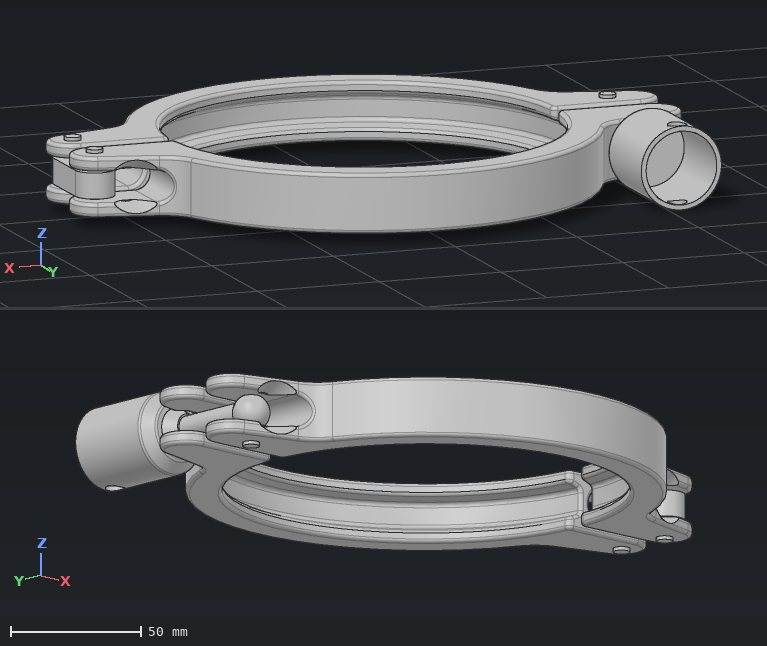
import cadquery as cq
import math

ring_outer_r = 92.5
ring_inner_r = 78.5
height = 23.8
half_gap = 2.8
edge_fillet = 1.5

lug_tip_r = 10.0
lug_reach = 125.0
flank_angle = math.radians(15)
flank_blend_r = 15.0
bore_corner_r = 2.5

groove_mouth_half = 7.0
groove_floor_r = 84.5
groove_floor_fillet = 2.0
groove_side_angle = math.radians(20)

slot_height = 12.5
slot_end_x = 89.2

bolt_x = 105.0
seat_top_y = 30.0
seat_top_r = 13.0
seat_bottom_y = 20.0
seat_bottom_r = 6.8

pin_d = 6.5
pin_length = 26.5
hinge_x = 115.0
hinge_y = 12.0
bolt_pin_y = 13.0
link_width = 15.8
link_height = 10.2

ball_r = 7.2
rod_d = 10.0
nut_d = 33.0
nut_end_y = 67.8
nut_face_y = 27.5
nut_taper = 4.8
nose_root_r = 9.0
nose_tip_r = 5.8
nose_tip_y = 22.0
nut_bore_d = 29.0
nut_bore_floor_y = nut_face_y + nut_taper
cross_hole_d = 7.5
cross_hole_y = 63.0


def half_plan():
    """Outline of the +Y half: ring and right-hand lug, mirrored onto the left."""
    tip_x = lug_reach - lug_tip_r
    tip_y = half_gap + lug_tip_r
    sin_a, cos_a = math.sin(flank_angle), math.cos(flank_angle)

    flank_offset = tip_x * sin_a + tip_y * cos_a + lug_tip_r + flank_blend_r
    blend_center_r = ring_outer_r + flank_blend_r
    along = math.sqrt(blend_center_r**2 - flank_offset**2)
    blend_x = flank_offset * sin_a + along * cos_a
    blend_y = flank_offset * cos_a - along * sin_a
    blend_angle = math.atan2(blend_y, blend_x)

    ring_x = ring_outer_r * math.cos(blend_angle)
    ring_y = ring_outer_r * math.sin(blend_angle)
    flank_in = (blend_x - flank_blend_r * sin_a, blend_y - flank_blend_r * cos_a)
    flank_out = (tip_x + lug_tip_r * sin_a, tip_y + lug_tip_r * cos_a)
    mid_dir = (blend_angle + math.pi + 1.5 * math.pi - flank_angle) / 2
    blend_mid = (
        blend_x + flank_blend_r * math.cos(mid_dir),
        blend_y + flank_blend_r * math.sin(mid_dir),
    )
    bore_x = math.sqrt(ring_inner_r**2 - half_gap**2)

    def left(point):
        return (-point[0], point[1])

    return (
        cq.Workplane("XY")
        .moveTo(bore_x, half_gap)
        .lineTo(tip_x, half_gap)
        .threePointArc((lug_reach, tip_y), flank_out)
        .lineTo(*flank_in)
        .threePointArc(blend_mid, (ring_x, ring_y))
        .threePointArc((0, ring_outer_r), (-ring_x, ring_y))
        .threePointArc(left(blend_mid), left(flank_in))
        .lineTo(*left(flank_out))
        .threePointArc((-lug_reach, tip_y), (-tip_x, half_gap))
        .lineTo(-bore_x, half_gap)
        .threePointArc((0, ring_inner_r), (bore_x, half_gap))
        .close()
    )


def groove_cutter():
    """Ring with a tapered section that cuts the V groove into the bore."""
    start_r = ring_inner_r - 2.5
    slope = math.tan(groove_side_angle)
    start_half = groove_mouth_half + slope * (ring_inner_r - start_r)
    floor_half = groove_mouth_half - slope * (groove_floor_r - ring_inner_r)
    return (
        cq.Workplane("XZ")
        .polyline([
            (start_r, -start_half),
            (groove_floor_r, -floor_half),
            (groove_floor_r, floor_half),
            (start_r, start_half),
        ])
        .close()
        .revolve(360, (0, 0, 0), (0, 1, 0))
    )


def slot_cutter(side):
    """Round-ended slot along Y that forks the lug on one side (+1 or -1 in X)."""
    length = 2 * (lug_reach - slot_end_x)
    center_x = slot_end_x + length / 2
    return (
        cq.Workplane("XZ")
        .center(side * center_x, 0)
        .slot2D(length, slot_height)
        .extrude(-ring_outer_r)
    )


def seat_cutter(side):
    """Cone along Y that sinks the bolt seat into the lug flank on one side."""
    return (
        cq.Workplane("XY")
        .polyline([
            (0, seat_bottom_y),
            (seat_bottom_r, seat_bottom_y),
            (seat_top_r, seat_top_y),
            (0, seat_top_y),
        ])
        .close()
        .revolve(360, (0, 0, 0), (0, 1, 0))
        .translate((side * bolt_x, 0, 0))
    )


def clamp_half():
    """The +Y half of the clamp with its groove, forked lugs and bolt seats."""
    half = half_plan().extrude(height / 2, both=True)
    corner_box = cq.selectors.BoxSelector(
        (-ring_inner_r - 2.5, 0, -height), (ring_inner_r + 2.5, 2 * half_gap, height))
    half = half.edges("|Z").edges(corner_box).fillet(bore_corner_r)
    half = half.cut(groove_cutter())

    floor_z = groove_mouth_half - edge_fillet
    floor_box = cq.selectors.BoxSelector(
        (-lug_reach, 0, -floor_z), (lug_reach, ring_outer_r, floor_z), boundingbox=True)
    half = half.edges(floor_box).edges("%CIRCLE").fillet(groove_floor_fillet)
    for side in (-1, 1):
        half = half.cut(slot_cutter(side))

    half = half.faces("<Z or >Z").edges().fillet(edge_fillet)
    rim_z = groove_mouth_half + 0.2
    rim_box = cq.selectors.BoxSelector(
        (-lug_reach - 2.5, 0, -rim_z), (lug_reach + 2.5, ring_outer_r, rim_z), boundingbox=True)
    half = half.edges(rim_box).edges("not(|Y)").fillet(edge_fillet)

    for side in (-1, 1):
        half = half.cut(seat_cutter(side))
    return half


def pin(x, y):
    """Pin along Z that stands slightly proud of both lug faces."""
    return cq.Workplane("XY").center(x, y).circle(pin_d / 2).extrude(pin_length / 2, both=True)


def hinge_link():
    """Round-ended link between the two hinge pins."""
    return (
        cq.Workplane("XY")
        .center(hinge_x, 0)
        .slot2D(2 * hinge_y + link_width, link_width, 90)
        .extrude(link_height / 2, both=True)
    )


def make_clamp():
    """Two halves joined by the hinge link and its pins, with the pin of the bolt."""
    upper_half = clamp_half()
    clamp = upper_half.union(upper_half.mirror("XZ")).union(hinge_link())
    for pin_y in (-hinge_y, hinge_y):
        clamp = clamp.union(pin(hinge_x, pin_y))
    return clamp.union(pin(-bolt_x, -bolt_pin_y)).solids()


def bolt_cylinder(diameter, start_y, end_y):
    """Cylinder around the bolt axis."""
    return (
        cq.Workplane("XZ", origin=(-bolt_x, start_y, 0))
        .circle(diameter / 2)
        .extrude(start_y - end_y)
    )


def nut():
    """Hollow nut with a tapered front, a conical nose and a cross hole."""
    sleeve = bolt_cylinder(nut_d, nut_face_y, nut_end_y).faces("<Y").chamfer(nut_taper)
    sleeve = sleeve.faces("%CONE").edges("%CIRCLE").fillet(edge_fillet)
    sleeve = sleeve.cut(bolt_cylinder(nut_bore_d, nut_bore_floor_y, nut_end_y))
    nose = cq.Workplane(cq.Solid.makeCone(
        nose_tip_r, nose_root_r, nut_face_y - nose_tip_y,
        cq.Vector(-bolt_x, nose_tip_y, 0), cq.Vector(0, 1, 0)))
    cross_hole = (
        cq.Workplane("XY").center(-bolt_x, cross_hole_y).circle(cross_hole_d / 2).extrude(nut_d, both=True)
    )
    return sleeve.union(nose).cut(cross_hole)


def make_swing_bolt():
    """Ball eye, rod and nut along Y, turning on the bolt pin."""
    ball = cq.Workplane("XY").sphere(ball_r).translate((-bolt_x, -bolt_pin_y, 0))
    slot_gauge = cq.Workplane("XY").box(3 * lug_reach, 3 * lug_reach, slot_height)
    rod = bolt_cylinder(rod_d, -bolt_pin_y, nut_face_y)
    bolt = ball.intersect(slot_gauge).union(rod).union(nut())
    return bolt.cut(pin(-bolt_x, -bolt_pin_y)).solids()


clamp = make_clamp()
swing_bolt = make_swing_bolt()
result = cq.Compound.makeCompound([clamp.val(), swing_bolt.val()])